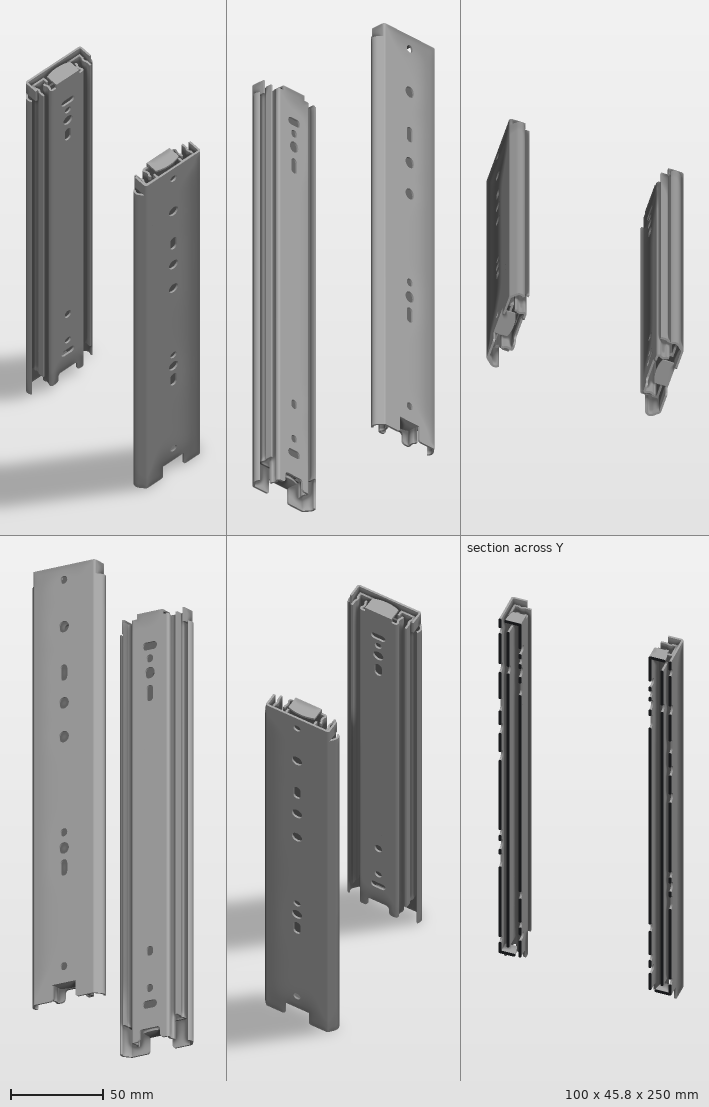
import cadquery as cq
import math


SPAN = 100.0
LENGTH = 250.0
SHEET = 1.2

OUTER_HALF_WIDTH = 20.0
OUTER_BEND = 1.38
OUTER_TAB_DEPTH = 9.0
RACEWAY_TOP = 242.0
RACEWAY_CREST = 22.88
RACEWAY_RADIUS = 3.5
RACEWAY_DEPTH = 5.5
RACEWAY_LIP_ANGLE = math.radians(48)
OUTER_NOTCH_HALF_WIDTH = 7.5
OUTER_NOTCH_HEIGHT = 9.2
OUTER_NOTCH_RADIUS = 1.5

MIDDLE_BOTTOM = 14.8
MIDDLE_TOP = 247.0
MIDDLE_DEPTH = 2.2
MIDDLE_STEP = 2.5
MIDDLE_REACH = 12.2
MIDDLE_HALF_WIDTH = 17.5
CENTRE_WEB_HALF_WIDTH = 8.2
CENTRE_WEB_TOP = 241.8
MIDDLE_GROOVE_DEPTH = 7.0
MIDDLE_GROOVE_HALF_WIDTH = 1.38
MIDDLE_GROOVE_SINK = 0.68
MIDDLE_HOLE_DIAMETER = 5.5

INNER_BOTTOM = 3.0
INNER_TOP = MIDDLE_TOP
INNER_FACE = 12.8
INNER_FLANGE_EDGE = 5.8
INNER_HALF_WIDTH = 12.0
INNER_BEND = 1.5
INNER_GROOVE_DEPTH = 9.0
INNER_GROOVE_HALF_WIDTH = 1.8
INNER_GROOVE_SINK = 0.8
INNER_NOTCH_HALF_WIDTH = 6.8
INNER_NOTCH_HEIGHT = 6.8
INNER_NOTCH_RADIUS = 2.0

STOP_SIDE = 7.8
STOP_CROWN = 1.5
OUTER_STOP_HALF_WIDTH = 7.0
INNER_STOP_HALF_WIDTH = 8.2

SMALL_HOLE = 4.5
LARGE_HOLE = 6.5
SLOT_LENGTH = 9.2
SHORT_SLOT_LENGTH = 5.5
ACCESS_HOLE_Z = 214.8
OUTER_SMALL_HOLES_Z = (18.8, 96.0, 241.8)
OUTER_LARGE_HOLES_Z = (87.0, 151.2, 170.8, ACCESS_HOLE_Z)
OUTER_SLOTS_Z = (75.8, 188.2)
INNER_SMALL_HOLES_Z = (32.8, 223.0)
INNER_CROSS_SLOTS_Z = (23.5, 230.2)
INNER_SLOT_Z = 203.0
INNER_SHORT_SLOT_Z = 54.2


def extrude_symmetric(half_profile, bottom, top):
    """Extrude a half profile that starts on y = 0 and join it to its mirror image."""
    half = half_profile.extrude(top - bottom).translate((0, 0, bottom))
    return half.union(half.mirror("XZ"))


def wall_plane(z=0.0):
    """Plane facing along the depth, with local x along Y and local y along Z."""
    return cq.Workplane("YZ", origin=(-2.5, 0, z))


def wall_cutter(sketch):
    """Extrude a closed sketch on the wall plane through the whole depth of a slide."""
    return sketch.extrude(INNER_FACE + 5)


def round_holes(diameter, heights):
    return wall_cutter(wall_plane().pushPoints([(0, z) for z in heights]).circle(diameter / 2))


def slots(length, heights, angle=90):
    """Round-ended slots, upright unless another angle is given."""
    return wall_cutter(wall_plane().pushPoints([(0, z) for z in heights]).slot2D(length, SMALL_HOLE, angle))


def end_notch(half_width, height, bottom):
    """Notch open at the lower end of a wall."""
    return wall_cutter(wall_plane(bottom).rect(2 * half_width, 2 * height))


def stop_tongue(root, direction, half_width, top):
    """Flat tongue with an arched end, running from the root depth in the given direction."""
    side = root + direction * STOP_SIDE
    return (
        cq.Workplane("XY", origin=(0, 0, top - SHEET))
        .moveTo(root, -half_width)
        .lineTo(side, -half_width)
        .threePointArc((side + direction * STOP_CROWN, 0), (side, half_width))
        .lineTo(root, half_width)
        .close()
        .extrude(SHEET)
    )


def raceway_half_profile():
    """Wall, rounded corner, slanted side and curled raceway of the outer rail."""
    corner = (OUTER_BEND, OUTER_HALF_WIDTH - OUTER_BEND)
    centre = (RACEWAY_DEPTH, RACEWAY_CREST - RACEWAY_RADIUS)
    run = centre[0] - corner[0]
    rise = centre[1] - corner[1]
    slope = math.atan2(rise, run) + math.asin((RACEWAY_RADIUS - OUTER_BEND) / math.hypot(run, rise))

    def on_arc(middle, radius, angle):
        """Point of an arc, with the angle measured from +Y towards +depth."""
        return (middle[0] + radius * math.sin(angle), middle[1] + radius * math.cos(angle))

    wall_angle = -math.pi / 2
    corner_middle = (wall_angle - slope) / 2
    corner_inside = OUTER_BEND - SHEET
    race_inside = RACEWAY_RADIUS - SHEET
    return (
        cq.Workplane("XY")
        .lineTo(*on_arc(corner, OUTER_BEND, wall_angle))
        .threePointArc(on_arc(corner, OUTER_BEND, corner_middle), on_arc(corner, OUTER_BEND, -slope))
        .lineTo(*on_arc(centre, RACEWAY_RADIUS, -slope))
        .threePointArc(
            on_arc(centre, RACEWAY_RADIUS, 0), on_arc(centre, RACEWAY_RADIUS, RACEWAY_LIP_ANGLE)
        )
        .lineTo(*on_arc(centre, race_inside, RACEWAY_LIP_ANGLE))
        .threePointArc(on_arc(centre, race_inside, 0), on_arc(centre, race_inside, -slope))
        .lineTo(*on_arc(corner, corner_inside, -slope))
        .threePointArc(on_arc(corner, corner_inside, corner_middle), on_arc(corner, corner_inside, wall_angle))
        .lineTo(SHEET, 0)
        .close()
    )


def tab_half_profile():
    """Wall and flat flange of the outer rail above its raceways."""
    inside = OUTER_HALF_WIDTH - SHEET
    bend_start = OUTER_HALF_WIDTH - OUTER_BEND
    return (
        cq.Workplane("XY")
        .lineTo(0, bend_start)
        .radiusArc((OUTER_BEND, OUTER_HALF_WIDTH), OUTER_BEND)
        .lineTo(OUTER_TAB_DEPTH, OUTER_HALF_WIDTH)
        .lineTo(OUTER_TAB_DEPTH, inside)
        .lineTo(OUTER_BEND, inside)
        .radiusArc((SHEET, bend_start), -(OUTER_BEND - SHEET))
        .lineTo(SHEET, 0)
        .close()
    )


def make_outer_rail():
    rail = extrude_symmetric(raceway_half_profile(), 0, RACEWAY_TOP)
    rail = rail.union(extrude_symmetric(tab_half_profile(), RACEWAY_TOP, LENGTH))
    notch = end_notch(OUTER_NOTCH_HALF_WIDTH, OUTER_NOTCH_HEIGHT, 0)
    rail = rail.cut(notch)
    notch_mouth = cq.selectors.BoxSelector(
        (-SHEET, -OUTER_NOTCH_HALF_WIDTH - SHEET, -SHEET),
        (2 * SHEET, OUTER_NOTCH_HALF_WIDTH + SHEET, SHEET),
    )
    rail = rail.edges("|X").edges(notch_mouth).fillet(OUTER_NOTCH_RADIUS)
    rail = rail.union(stop_tongue(0, 1, OUTER_STOP_HALF_WIDTH, OUTER_NOTCH_HEIGHT + SHEET))
    rail = rail.cut(round_holes(SMALL_HOLE, OUTER_SMALL_HOLES_Z))
    rail = rail.cut(round_holes(LARGE_HOLE, OUTER_LARGE_HOLES_Z))
    return rail.cut(slots(SLOT_LENGTH, OUTER_SLOTS_Z))


def ridge_half_width_behind(half_width, sink):
    """Half width of the ridge that a groove of the given half width and sink raises on the far face."""
    radius = (half_width**2 + sink**2) / (2 * sink)
    return math.sqrt((radius + SHEET) ** 2 - (radius - sink + SHEET) ** 2)


def middle_half_profile():
    """Centre web, stepped side web and grooved flange of the middle rail."""
    centre_face = MIDDLE_DEPTH + MIDDLE_STEP
    inside = MIDDLE_HALF_WIDTH - SHEET
    floor = MIDDLE_HALF_WIDTH - MIDDLE_GROOVE_SINK
    ridge_half_width = ridge_half_width_behind(MIDDLE_GROOVE_HALF_WIDTH, MIDDLE_GROOVE_SINK)
    return (
        cq.Workplane("XY")
        .moveTo(centre_face, 0)
        .lineTo(centre_face, CENTRE_WEB_HALF_WIDTH)
        .lineTo(MIDDLE_DEPTH, CENTRE_WEB_HALF_WIDTH)
        .lineTo(MIDDLE_DEPTH, MIDDLE_HALF_WIDTH)
        .lineTo(MIDDLE_GROOVE_DEPTH - MIDDLE_GROOVE_HALF_WIDTH, MIDDLE_HALF_WIDTH)
        .threePointArc(
            (MIDDLE_GROOVE_DEPTH, floor), (MIDDLE_GROOVE_DEPTH + MIDDLE_GROOVE_HALF_WIDTH, MIDDLE_HALF_WIDTH)
        )
        .lineTo(MIDDLE_REACH, MIDDLE_HALF_WIDTH)
        .lineTo(MIDDLE_REACH, inside)
        .lineTo(MIDDLE_GROOVE_DEPTH + ridge_half_width, inside)
        .threePointArc((MIDDLE_GROOVE_DEPTH, floor - SHEET), (MIDDLE_GROOVE_DEPTH - ridge_half_width, inside))
        .lineTo(MIDDLE_DEPTH + SHEET, inside)
        .lineTo(MIDDLE_DEPTH + SHEET, CENTRE_WEB_HALF_WIDTH + SHEET)
        .lineTo(centre_face + SHEET, CENTRE_WEB_HALF_WIDTH + SHEET)
        .lineTo(centre_face + SHEET, 0)
        .close()
    )


def make_middle_rail():
    rail = extrude_symmetric(middle_half_profile(), MIDDLE_BOTTOM, MIDDLE_TOP)
    top_notch_height = MIDDLE_TOP - CENTRE_WEB_TOP
    top_notch = wall_cutter(wall_plane(MIDDLE_TOP).rect(2 * CENTRE_WEB_HALF_WIDTH, 2 * top_notch_height))
    return rail.cut(top_notch).cut(round_holes(MIDDLE_HOLE_DIAMETER, (ACCESS_HOLE_Z,)))


def inner_half_profile():
    """Wall, rounded corner and grooved flange of the inner rail."""
    wall_inside = INNER_FACE - SHEET
    inside = INNER_HALF_WIDTH - SHEET
    bend_start = INNER_HALF_WIDTH - INNER_BEND
    bend_end = INNER_FACE - INNER_BEND
    floor = INNER_HALF_WIDTH - INNER_GROOVE_SINK
    ridge_half_width = ridge_half_width_behind(INNER_GROOVE_HALF_WIDTH, INNER_GROOVE_SINK)
    return (
        cq.Workplane("XY")
        .moveTo(INNER_FACE, 0)
        .lineTo(INNER_FACE, bend_start)
        .radiusArc((bend_end, INNER_HALF_WIDTH), -INNER_BEND)
        .lineTo(INNER_GROOVE_DEPTH + INNER_GROOVE_HALF_WIDTH, INNER_HALF_WIDTH)
        .threePointArc(
            (INNER_GROOVE_DEPTH, floor), (INNER_GROOVE_DEPTH - INNER_GROOVE_HALF_WIDTH, INNER_HALF_WIDTH)
        )
        .lineTo(INNER_FLANGE_EDGE, INNER_HALF_WIDTH)
        .lineTo(INNER_FLANGE_EDGE, inside)
        .lineTo(INNER_GROOVE_DEPTH - ridge_half_width, inside)
        .threePointArc((INNER_GROOVE_DEPTH, floor - SHEET), (INNER_GROOVE_DEPTH + ridge_half_width, inside))
        .lineTo(bend_end, inside)
        .radiusArc((wall_inside, bend_start), INNER_BEND - SHEET)
        .lineTo(wall_inside, 0)
        .close()
    )


def make_inner_rail():
    rail = extrude_symmetric(inner_half_profile(), INNER_BOTTOM, INNER_TOP)
    notch = end_notch(INNER_NOTCH_HALF_WIDTH, INNER_NOTCH_HEIGHT, INNER_BOTTOM)
    rail = rail.cut(notch)
    notch_region = cq.selectors.BoxSelector(
        (INNER_FACE - 2 * SHEET, -INNER_NOTCH_HALF_WIDTH - SHEET, INNER_BOTTOM - SHEET),
        (INNER_FACE + SHEET, INNER_NOTCH_HALF_WIDTH + SHEET, INNER_BOTTOM + INNER_NOTCH_HEIGHT + SHEET),
    )
    rail = rail.edges("|X").edges(notch_region).fillet(INNER_NOTCH_RADIUS)
    neck_height = LENGTH - INNER_TOP
    neck = cq.Workplane("XY").box(
        SHEET, 2 * INNER_STOP_HALF_WIDTH, neck_height, centered=(False, True, False)
    )
    rail = rail.union(neck.translate((INNER_FACE - SHEET, 0, INNER_TOP)))
    rail = rail.union(stop_tongue(INNER_FACE, -1, INNER_STOP_HALF_WIDTH, LENGTH))
    rail = rail.cut(round_holes(SMALL_HOLE, INNER_SMALL_HOLES_Z))
    rail = rail.cut(round_holes(LARGE_HOLE, (ACCESS_HOLE_Z,)))
    rail = rail.cut(slots(SLOT_LENGTH, INNER_CROSS_SLOTS_Z, angle=0))
    rail = rail.cut(slots(SLOT_LENGTH, (INNER_SLOT_Z,)))
    return rail.cut(slots(SHORT_SLOT_LENGTH, (INNER_SHORT_SLOT_Z,)))


bodies = []
for make_rail in (make_outer_rail, make_middle_rail, make_inner_rail):
    left_rail = make_rail().translate((-SPAN / 2, 0, 0))
    right_rail = left_rail.mirror("YZ")
    bodies.append(left_rail.solids().val())
    bodies.append(right_rail.solids().val())

result = cq.Compound.makeCompound(bodies)